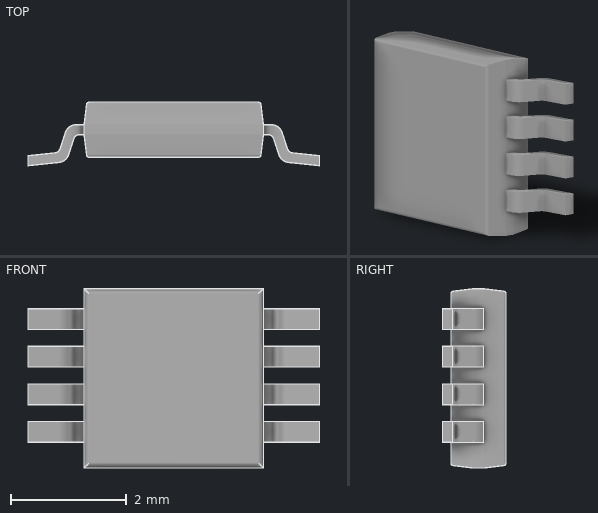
import cadquery as cq
import math

OVERALL_SPAN = 5.03
BODY_SIDE = 3.1
BODY_THICKNESS = 0.955
BAND_THICKNESS = 0.175
DRAFT_ANGLE = 7.0
BODY_EDGE_RADIUS = 0.05

LEADS_PER_SIDE = 4
LEAD_PITCH = 0.65
LEAD_WIDTH = 0.36
LEAD_ROW_OFFSET = 0.0495
LEAD_THICKNESS = BAND_THICKNESS
LEG_ANGLE = 72.0
FOOT_ANGLE = 6.0
TIP_DROP = 0.625
FOOT_CORNER_REACH = 0.665
OUTER_BEND_RADIUS = 0.2
INNER_BEND_RADIUS = 0.1

BAND_HALF = BAND_THICKNESS / 2
BODY_HALF_SIDE = BODY_SIDE / 2
TIP_X = -OVERALL_SPAN / 2
DRAFT_DEPTH = (BODY_THICKNESS - BAND_THICKNESS) / 2
LEG_SLOPE = math.tan(math.radians(LEG_ANGLE))
FOOT_SLOPE = math.tan(math.radians(FOOT_ANGLE))


def drafted_half(direction):
    """Tapered slab on one side of the band; direction is +1 for +Y, -1 for -Y."""
    plane = cq.Plane(
        origin=(0, direction * BAND_HALF, 0), xDir=(1, 0, 0), normal=(0, direction, 0)
    )
    return (
        cq.Workplane(plane)
        .rect(BODY_SIDE, BODY_SIDE)
        .extrude(DRAFT_DEPTH, taper=DRAFT_ANGLE)
    )


def make_body():
    """Moulded package: straight band between two drafted halves with rounded rims."""
    band = cq.Workplane("XY").box(BODY_SIDE, BAND_THICKNESS, BODY_SIDE)
    body = band.union(drafted_half(1)).union(drafted_half(-1))
    return body.faces("<Y or >Y").edges().fillet(BODY_EDGE_RADIUS)


def lead_profile_corners():
    """Sharp corners of the left gull-wing profile in X and Y, before the bends are rounded."""
    lower_foot_x = TIP_X + FOOT_CORNER_REACH
    lower_foot_y = -TIP_DROP + FOOT_CORNER_REACH * FOOT_SLOPE
    lower_shoulder_x = lower_foot_x + (-BAND_HALF - lower_foot_y) / LEG_SLOPE

    tip_height = LEAD_THICKNESS / math.cos(math.radians(FOOT_ANGLE))
    leg_width = LEAD_THICKNESS / math.sin(math.radians(LEG_ANGLE))
    upper_shoulder_x = lower_shoulder_x + LEAD_THICKNESS / LEG_SLOPE - leg_width
    rise_to_upper_foot = tip_height - leg_width * FOOT_SLOPE
    upper_foot_shift = rise_to_upper_foot / (LEG_SLOPE - FOOT_SLOPE)
    upper_foot_x = lower_foot_x - leg_width + upper_foot_shift
    upper_foot_y = lower_foot_y + upper_foot_shift * LEG_SLOPE

    return [
        (TIP_X, -TIP_DROP),
        (lower_foot_x, lower_foot_y),
        (lower_shoulder_x, -BAND_HALF),
        (-BODY_HALF_SIDE, -BAND_HALF),
        (-BODY_HALF_SIDE, BAND_HALF),
        (upper_shoulder_x, BAND_HALF),
        (upper_foot_x, upper_foot_y),
        (TIP_X, -TIP_DROP + tip_height),
    ]


def round_bend(lead, corner, radius):
    """Round the bend edge that runs along Z through a profile corner."""
    bend_edge = cq.selectors.NearestToPointSelector((corner[0], corner[1], 0))
    return lead.edges("|Z").edges(bend_edge).fillet(radius)


def make_left_lead():
    """Gull-wing lead on the -X side, centred on Z = 0, butting against the body band."""
    corners = lead_profile_corners()
    lower_foot, lower_shoulder = corners[1:3]
    upper_shoulder, upper_foot = corners[5:7]
    lead = cq.Workplane("XY").polyline(corners).close().extrude(LEAD_WIDTH / 2, both=True)
    for corner in (lower_foot, upper_shoulder):
        lead = round_bend(lead, corner, OUTER_BEND_RADIUS)
    for corner in (lower_shoulder, upper_foot):
        lead = round_bend(lead, corner, INNER_BEND_RADIUS)
    return lead


def make_leads():
    """Both rows of leads; each lead is a separate solid."""
    left_lead = make_left_lead()
    right_lead = left_lead.mirror("YZ")
    leads = []
    for i in range(LEADS_PER_SIDE):
        z = LEAD_ROW_OFFSET + (i - (LEADS_PER_SIDE - 1) / 2) * LEAD_PITCH
        leads.append(left_lead.translate((0, 0, z)).solids().val())
        leads.append(right_lead.translate((0, 0, z)).solids().val())
    return leads


body = make_body()
leads = make_leads()

result = cq.Compound.makeCompound([body.solids().val(), *leads])